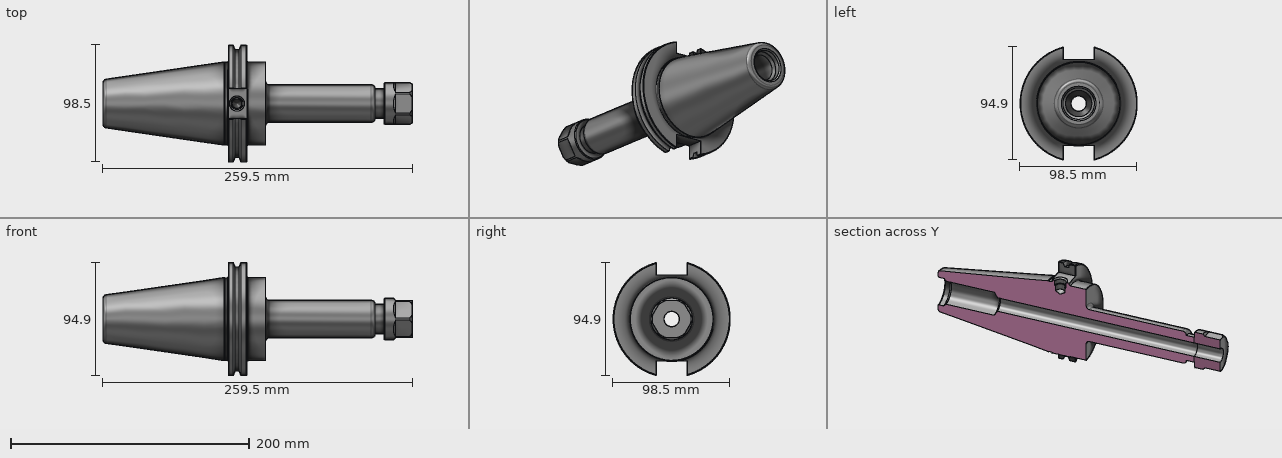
import cadquery as cq
import math

overall_length = 259.5

gauge_diameter = 69.8
gauge_x = 101.5
taper_per_length = 7 / 24
small_end_face_diameter = 35.0
small_end_round_length = 2.5
small_end_round_radius = 3.5

relief_diameter = 69.3
relief_slope_length = 0.8
flange_start = 105.1
flange_end = 121.0
flange_diameter = 98.5
flange_rear_chamfer = 0.5
flange_front_chamfer = 0.8
flange_root_fillet = 0.8
v_groove_diameter = 91.0
v_groove_start = 109.3
v_groove_end = 115.8
v_groove_side = 1.5

collar_diameter = 69.8
collar_end = 136.5
collar_chamfer = 0.3
stem_diameter = 31.7
stem_root_fillet = 2.9
stem_end = 228.5
neck_diameter = 25.0
stem_end_round = (stem_diameter - neck_diameter) / 2

slot_width = 25.5
slot_edge_chamfer = 0.5
upper_slot_floor = 37.0
lower_slot_floor = 35.3

screw_hole_x = 112.5
screw_hole_diameter = 8.0
screw_hole_depth = 10.5
screw_counterbore_diameter = 10.0
screw_counterbore_depth = 5.2
screw_mouth_diameter = 12.7
drill_point_angle = 118

mouth_diameter = 29.0
pilot_diameter = 26.5
mouth_depth = 1.0
pilot_depth = 5.5
thread_diameter = 22.0
thread_depth = 52.0
coolant_diameter = 12.7

nut_start = 235.7
nut_diameter = 35.0
nut_back_chamfer = 0.8
nut_flat_count = 6
nut_across_flats = 31.2
nut_flat_start = 245.5
nut_front_chamfer_length = 2.0
nut_front_chamfer_height = 1.3


def revolve_about_x(profile):
    return profile.close().revolve(360, (0, 0, 0), (1, 0, 0))


def taper_radius(x):
    return gauge_diameter / 2 - (gauge_x - x) * taper_per_length / 2


def holder_blank():
    relief_radius = relief_diameter / 2
    flange_radius = flange_diameter / 2
    collar_radius = collar_diameter / 2
    groove_radius = v_groove_diameter / 2
    stem_radius = stem_diameter / 2
    face_radius = small_end_face_diameter / 2
    profile = (
        cq.Workplane("XY")
        .lineTo(0, face_radius)
        .radiusArc((small_end_round_length, taper_radius(small_end_round_length)), small_end_round_radius)
        .lineTo(gauge_x, gauge_diameter / 2)
        .lineTo(gauge_x + relief_slope_length, relief_radius)
        .lineTo(flange_start - flange_root_fillet, relief_radius)
        .radiusArc((flange_start, relief_radius + flange_root_fillet), -flange_root_fillet)
        .lineTo(flange_start, flange_radius - flange_rear_chamfer)
        .lineTo(flange_start + flange_rear_chamfer, flange_radius)
        .lineTo(v_groove_start, flange_radius)
        .lineTo(v_groove_start + v_groove_side, groove_radius)
        .lineTo(v_groove_end - v_groove_side, groove_radius)
        .lineTo(v_groove_end, flange_radius)
        .lineTo(flange_end - flange_front_chamfer, flange_radius)
        .lineTo(flange_end, flange_radius - flange_front_chamfer)
        .lineTo(flange_end, collar_radius + flange_root_fillet)
        .radiusArc((flange_end + flange_root_fillet, collar_radius), -flange_root_fillet)
        .lineTo(collar_end - collar_chamfer, collar_radius)
        .lineTo(collar_end, collar_radius - collar_chamfer)
        .lineTo(collar_end, stem_radius + stem_root_fillet)
        .radiusArc((collar_end + stem_root_fillet, stem_radius), -stem_root_fillet)
        .lineTo(stem_end - stem_end_round, stem_radius)
        .radiusArc((stem_end, neck_diameter / 2), stem_end_round)
        .lineTo(nut_start, neck_diameter / 2)
        .lineTo(nut_start, 0)
    )
    return revolve_about_x(profile)


def drill_point_height(large_diameter, small_diameter=0):
    return (large_diameter - small_diameter) / 2 / math.tan(math.radians(drill_point_angle / 2))


def holder_bore():
    pilot_cone_end = pilot_depth + (pilot_diameter - thread_diameter) / 2
    thread_cone_end = thread_depth + drill_point_height(thread_diameter, coolant_diameter)
    profile = (
        cq.Workplane("XY")
        .lineTo(0, mouth_diameter / 2)
        .lineTo(mouth_depth, pilot_diameter / 2)
        .lineTo(pilot_depth, pilot_diameter / 2)
        .lineTo(pilot_cone_end, thread_diameter / 2)
        .lineTo(thread_depth, thread_diameter / 2)
        .lineTo(thread_cone_end, coolant_diameter / 2)
        .lineTo(nut_start, coolant_diameter / 2)
        .lineTo(nut_start, 0)
    )
    return revolve_about_x(profile)


def drive_slot(floor_height):
    """Slot across the upper side of the flange, flared where its walls meet the flange faces and rim."""
    half_width = slot_width / 2
    flared_half_width = half_width + slot_edge_chamfer
    rim_height = math.sqrt((flange_diameter / 2) ** 2 - flared_half_width**2)
    half_plan = [
        (flange_start, flared_half_width),
        (flange_start + slot_edge_chamfer, half_width),
        (flange_end - slot_edge_chamfer, half_width),
        (flange_end, flared_half_width),
    ]
    plan = half_plan + [(x, -y) for x, y in reversed(half_plan)]
    channel = (
        cq.Workplane("XY", origin=(0, 0, floor_height))
        .polyline(plan)
        .close()
        .extrude(flange_diameter / 2 - floor_height)
    )
    rim_flare = (
        cq.Workplane("YZ", origin=(flange_start, 0, 0))
        .moveTo(-half_width, rim_height - slot_edge_chamfer)
        .lineTo(-flared_half_width, rim_height)
        .lineTo(-flared_half_width, flange_diameter / 2)
        .lineTo(flared_half_width, flange_diameter / 2)
        .lineTo(flared_half_width, rim_height)
        .lineTo(half_width, rim_height - slot_edge_chamfer)
        .close()
        .extrude(flange_end - flange_start)
    )
    return channel.union(rim_flare)


def screw_hole():
    hole_radius = screw_hole_diameter / 2
    counterbore_radius = screw_counterbore_diameter / 2
    mouth_radius = screw_mouth_diameter / 2
    profile = (
        cq.Workplane("XZ")
        .lineTo(mouth_radius, 0)
        .lineTo(counterbore_radius, counterbore_radius - mouth_radius)
        .lineTo(counterbore_radius, -screw_counterbore_depth)
        .lineTo(hole_radius, -screw_counterbore_depth)
        .lineTo(hole_radius, -screw_hole_depth)
        .lineTo(0, -screw_hole_depth - drill_point_height(screw_hole_diameter))
        .close()
    )
    return profile.revolve(360, (0, 0, 0), (0, 1, 0)).translate((screw_hole_x, 0, upper_slot_floor))


def make_holder():
    upper_slot = drive_slot(upper_slot_floor)
    lower_slot = drive_slot(lower_slot_floor).rotate((0, 0, 0), (1, 0, 0), 180)
    return holder_blank().cut(upper_slot).cut(lower_slot).cut(screw_hole()).cut(holder_bore())


def nut_blank():
    outer_radius = nut_diameter / 2
    bore_radius = coolant_diameter / 2
    profile = (
        cq.Workplane("XY")
        .moveTo(nut_start, bore_radius)
        .lineTo(nut_start, outer_radius - nut_back_chamfer)
        .lineTo(nut_start + nut_back_chamfer, outer_radius)
        .lineTo(overall_length - nut_front_chamfer_length, outer_radius)
        .lineTo(overall_length, outer_radius - nut_front_chamfer_height)
        .lineTo(overall_length, bore_radius)
    )
    return revolve_about_x(profile)


def nut_flat_cut():
    """Material removed above the top wrench flat, with a 45 degree run-out at its inner end."""
    outer_radius = nut_diameter / 2
    flat_height = nut_across_flats / 2
    run_out = outer_radius - flat_height
    return (
        cq.Workplane("XZ")
        .moveTo(nut_flat_start, flat_height)
        .lineTo(overall_length, flat_height)
        .lineTo(overall_length, outer_radius)
        .lineTo(nut_flat_start - run_out, outer_radius)
        .close()
        .extrude(outer_radius, both=True)
    )


def make_nut():
    body = nut_blank()
    flat_cut = nut_flat_cut()
    for i in range(nut_flat_count):
        body = body.cut(flat_cut.rotate((0, 0, 0), (1, 0, 0), i * 360 / nut_flat_count))
    return body


holder = make_holder()
nut = make_nut()
result = cq.Compound.makeCompound([holder.val(), nut.val()])